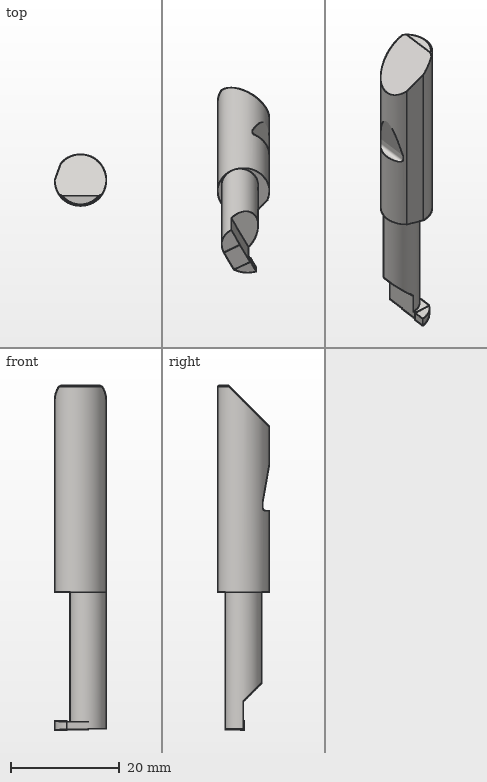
import cadquery as cq
import math

total_length = 63.5
shank_radius = 4.75
shank_bottom = 25.4
bevel_start_y = -2.85
top_chamfer = 0.3
flat_angle = 20.0

notch_top = 48.8
notch_bottom = 40.4
notch_depth = 1.2
notch_slope = 10.0
notch_fillet = 0.6

neck_radius = 3.35
neck_x = shank_radius - neck_radius
neck_y = 0.0
neck_bottom = 0.25
relief_bottom = 5.35

rake_y = neck_y
tip_rake_y = rake_y + 0.1
tip_height = 1.7
tip_back_y = neck_y - neck_radius
tip_heel_x = -2.55
tip_bulge = 0.3
tip_taper = 0.2
arm_bottom = 0.1
arm_top = 1.6


def yz_prism(points):
    """Closed YZ outline extended through the full width of the shank."""
    return cq.Workplane("YZ").polyline(points).close().extrude(shank_radius, both=True)


def make_shank():
    length = total_length - shank_bottom
    shank = cq.Workplane("XY").workplane(offset=shank_bottom).circle(shank_radius).extrude(length)
    shank = shank.faces(">Z").chamfer(top_chamfer)

    bevel_run = 2 * shank_radius
    bevel_end_y = bevel_start_y + bevel_run
    shank = shank.cut(yz_prism([
        (bevel_start_y, total_length),
        (bevel_end_y, total_length),
        (bevel_end_y, total_length - bevel_run),
    ]))

    flat_distance = shank_radius * math.cos(math.radians(flat_angle))
    flat_cutter = (
        cq.Workplane("XY")
        .box(shank_radius, 2 * shank_radius, total_length, centered=(False, True, False))
        .translate((flat_distance, 0, 0))
        .rotate((0, 0, 0), (0, 0, 1), 180 - flat_angle)
    )
    return shank.cut(flat_cutter)


def make_notch():
    floor_y = shank_radius - notch_depth
    end_z = notch_top - notch_depth / math.tan(math.radians(notch_slope))
    notch = yz_prism([
        (shank_radius, notch_top),
        (floor_y, end_z),
        (floor_y, notch_bottom),
        (shank_radius, notch_bottom),
    ])
    inner_corner = cq.selectors.NearestToPointSelector((0, floor_y, notch_bottom))
    return notch.edges(inner_corner).fillet(notch_fillet)


def make_neck():
    neck = (
        cq.Workplane("XY")
        .workplane(offset=neck_bottom)
        .center(neck_x, neck_y)
        .circle(neck_radius)
        .extrude(shank_bottom - neck_bottom)
    )
    outer_y = neck_y + neck_radius
    return neck.cut(yz_prism([
        (rake_y, 0),
        (outer_y, 0),
        (outer_y, relief_bottom + neck_radius),
        (rake_y, relief_bottom),
    ]))


def make_tip():
    middle_x = (tip_heel_x - shank_radius) / 2 - tip_bulge
    middle_y = (tip_back_y + tip_rake_y) / 2 - tip_bulge
    head = (
        cq.Workplane("XY")
        .moveTo(tip_heel_x, tip_rake_y)
        .lineTo(-shank_radius, tip_rake_y)
        .threePointArc((middle_x, middle_y), (tip_heel_x, tip_back_y))
        .close()
        .extrude(tip_height)
    )
    head = head.intersect(yz_prism([
        (tip_rake_y, 0),
        (tip_rake_y, tip_height),
        (tip_back_y, tip_height - tip_taper),
        (tip_back_y, tip_taper),
    ]))

    arm = cq.Workplane("XY").box(
        neck_x - tip_heel_x, rake_y - tip_back_y, arm_top - arm_bottom, centered=False
    )
    return head.union(arm.translate((tip_heel_x, tip_back_y, arm_bottom)))


result = make_shank().cut(make_notch()).union(make_neck()).union(make_tip())